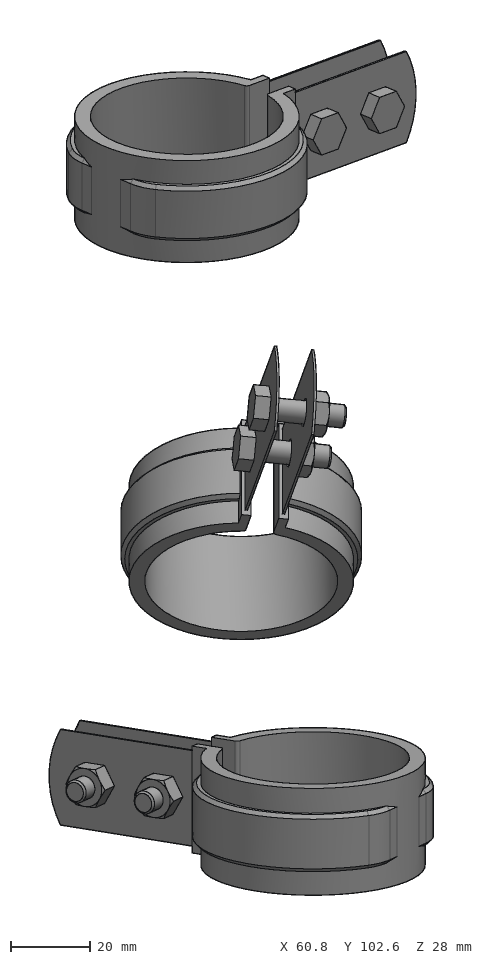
import cadquery as cq
import math


LINER_HEIGHT = 28.0
BORE_RADIUS = 24.3
LINER_RADIUS = 28.3
LIP_THICKNESS = 2.5
LIP_TOP = 31.8
LIP_FILLET = 1.0

BAND_RADIUS = 30.4
BAND_HEIGHT = 15.0
BAND_CHAMFER = 1.0
BAND_FLAT_DISTANCE = 27.8
BAND_BLEND_RADIUS = 13.3

STRAP_THICKNESS = 0.6
STRAP_HEIGHT = 25.0
EAR_GAP = 8.9
OVERALL_LENGTH = 102.6
EAR_HOLE_DIAMETER = 7.0

BOLT_DIAMETER = 6.0
BOLT_TIP_DIAMETER = 4.9
BOLT_LENGTH = 20.0
HEAD_THICKNESS = 4.0
NUT_THICKNESS = 5.0
HEX_SIDES = 6
HEX_ACROSS_FLATS = 10.0
NUT_CHAMFER_ANGLE = 30.0
FIRST_BOLT_Y = 40.8
BOLT_SPACING = 20.0

EAR_TIP_Y = OVERALL_LENGTH - LINER_RADIUS
EAR_INNER_X = EAR_GAP / 2
EAR_OUTER_X = EAR_INNER_X + STRAP_THICKNESS
LINER_COVER = (LIP_THICKNESS - STRAP_THICKNESS) / 2
LIP_INNER_X = EAR_INNER_X - LINER_COVER
STRAP_OUTER_RADIUS = LINER_RADIUS - LINER_COVER
STRAP_INNER_RADIUS = STRAP_OUTER_RADIUS - STRAP_THICKNESS
HEX_ACROSS_CORNERS = HEX_ACROSS_FLATS / math.cos(math.pi / HEX_SIDES)
BOLT_POSITIONS = [FIRST_BOLT_Y, FIRST_BOLT_Y + BOLT_SPACING]


def block(x_min, x_max, y_min, y_max, height):
    """Box between the given X and Y limits, centred on Z = 0."""
    plan = cq.Workplane("XY").center((x_min + x_max) / 2, (y_min + y_max) / 2)
    return plan.rect(x_max - x_min, y_max - y_min).extrude(height / 2, both=True)


def disc(radius, height):
    """Cylinder on the pipe axis, centred on Z = 0."""
    return cq.Workplane("XY").circle(radius).extrude(height / 2, both=True)


def chord_y(radius, x):
    """Height Y at which a circle around the pipe axis crosses the given X."""
    return math.sqrt(radius**2 - x**2)


def make_band():
    """Solid disc of the raised band, flattened at -Y, with both rims chamfered."""
    centre_distance = BAND_RADIUS - BAND_BLEND_RADIUS
    centre_y = BAND_BLEND_RADIUS - BAND_FLAT_DISTANCE
    flat_end_x = chord_y(centre_distance, centre_y)
    tangent_x = flat_end_x * BAND_RADIUS / centre_distance
    tangent_y = centre_y * BAND_RADIUS / centre_distance

    middle_angle = (math.atan2(centre_y, flat_end_x) - math.pi / 2) / 2
    middle_x = flat_end_x + BAND_BLEND_RADIUS * math.cos(middle_angle)
    middle_y = centre_y + BAND_BLEND_RADIUS * math.sin(middle_angle)

    outline = (
        cq.Workplane("XY")
        .moveTo(-flat_end_x, -BAND_FLAT_DISTANCE)
        .lineTo(flat_end_x, -BAND_FLAT_DISTANCE)
        .threePointArc((middle_x, middle_y), (tangent_x, tangent_y))
        .threePointArc((0, BAND_RADIUS), (-tangent_x, tangent_y))
        .threePointArc((-middle_x, middle_y), (-flat_end_x, -BAND_FLAT_DISTANCE))
        .close()
    )
    band = outline.extrude(BAND_HEIGHT / 2, both=True)
    return band.faces("|Z").edges().chamfer(BAND_CHAMFER)


def make_liner(strap):
    """Open ring with the raised band, two lips at the gap and a slot for the strap."""
    lip_outer_x = LIP_INNER_X + LIP_THICKNESS
    lip_root_y = chord_y(BORE_RADIUS, LIP_INNER_X)
    lips = block(-lip_outer_x, lip_outer_x, lip_root_y, LIP_TOP, LINER_HEIGHT)
    gap = block(-LIP_INNER_X, LIP_INNER_X, 0, LIP_TOP, LINER_HEIGHT)

    body = disc(LINER_RADIUS, LINER_HEIGHT).union(make_band()).union(lips)
    body = body.cut(disc(BORE_RADIUS, LINER_HEIGHT)).cut(gap)

    for side in (-1, 1):
        corner = cq.selectors.NearestToPointSelector((side * LIP_INNER_X, lip_root_y, 0))
        body = body.edges("|Z").edges(corner).fillet(LIP_FILLET)
    return body.cut(strap)


def make_ear_tip_trim():
    """Plate whose +Y end is the arc of both ear tips, as wide as the whole strap."""
    tip_radius = STRAP_HEIGHT
    half_height = STRAP_HEIGHT / 2
    corner_y = EAR_TIP_Y - tip_radius + chord_y(tip_radius, half_height)
    return (
        cq.Workplane("YZ")
        .moveTo(-LINER_RADIUS, -half_height)
        .lineTo(corner_y, -half_height)
        .threePointArc((EAR_TIP_Y, 0), (corner_y, half_height))
        .lineTo(-LINER_RADIUS, half_height)
        .close()
        .extrude(LINER_RADIUS, both=True)
    )


def make_strap():
    """Sheet-metal loop inside the liner, running out into two drilled ears."""
    loop = disc(STRAP_OUTER_RADIUS, STRAP_HEIGHT).cut(disc(STRAP_INNER_RADIUS, STRAP_HEIGHT))
    gap = block(-EAR_INNER_X, EAR_INNER_X, 0, EAR_TIP_Y, STRAP_HEIGHT)
    ear_root_y = chord_y(STRAP_INNER_RADIUS, EAR_INNER_X)
    ears = block(-EAR_OUTER_X, EAR_OUTER_X, ear_root_y, EAR_TIP_Y, STRAP_HEIGHT)
    holes = (
        cq.Workplane("YZ")
        .pushPoints([(y, 0) for y in BOLT_POSITIONS])
        .circle(EAR_HOLE_DIAMETER / 2)
        .extrude(EAR_OUTER_X, both=True)
    )
    return loop.union(ears).cut(gap).intersect(make_ear_tip_trim()).cut(holes)


def make_bolt(y):
    """Hexagon bolt with its head on the +X ear and its chamfered tip toward -X."""
    seat = cq.Workplane("YZ", origin=(EAR_OUTER_X, y, 0))
    head = seat.polygon(HEX_SIDES, HEX_ACROSS_CORNERS).extrude(HEAD_THICKNESS)
    tip_chamfer = (BOLT_DIAMETER - BOLT_TIP_DIAMETER) / 2
    shank = seat.circle(BOLT_DIAMETER / 2).extrude(-BOLT_LENGTH)
    shank = shank.faces("<X").chamfer(tip_chamfer)
    return head.union(shank)


def make_nut(y):
    """Hexagon nut against the -X ear, its outer corners turned down by a cone."""
    seat = cq.Workplane("YZ", origin=(-EAR_OUTER_X, y, 0))
    body = seat.polygon(HEX_SIDES, HEX_ACROSS_CORNERS).extrude(-NUT_THICKNESS)

    corner_height = (HEX_ACROSS_CORNERS - HEX_ACROSS_FLATS) / 2
    chamfer_depth = corner_height * math.tan(math.radians(NUT_CHAMFER_ANGLE))
    turned = seat.circle(HEX_ACROSS_CORNERS / 2).extrude(-NUT_THICKNESS)
    turned = turned.faces("<X").chamfer(chamfer_depth, corner_height)

    bore = seat.circle(BOLT_DIAMETER / 2).extrude(-NUT_THICKNESS)
    return body.intersect(turned).cut(bore)


strap = make_strap()
liner = make_liner(strap)
bolts = [make_bolt(y) for y in BOLT_POSITIONS]
nuts = [make_nut(y) for y in BOLT_POSITIONS]

result = cq.Compound.makeCompound(
    [
        liner.solids().val(),
        strap.solids().val(),
        *[bolt.solids().val() for bolt in bolts],
        *[nut.solids().val() for nut in nuts],
    ]
)